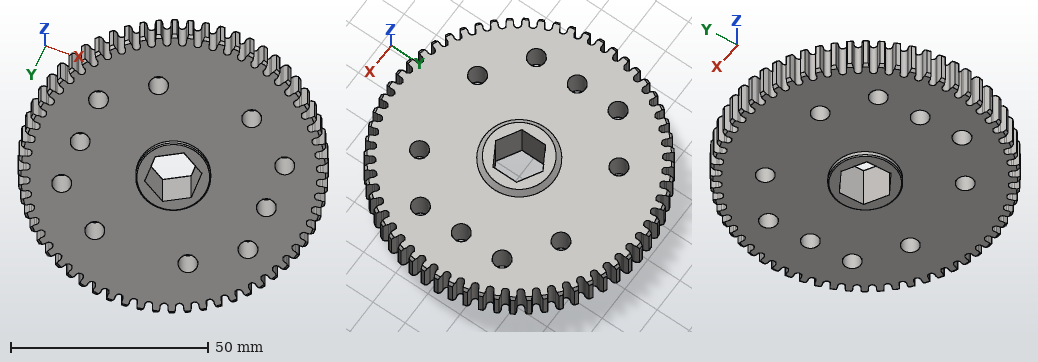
import cadquery as cq
import math

INCH = 25.4

TOOTH_COUNT = 60
MODULE = INCH / 20
PRESSURE_ANGLE = math.radians(14.5)
PITCH_RADIUS = MODULE * TOOTH_COUNT / 2
TIP_RADIUS = PITCH_RADIUS + MODULE
ROOT_RADIUS = 36.38
BASE_RADIUS = PITCH_RADIUS * math.cos(PRESSURE_ANGLE)
FLANK_START_RADIUS = PITCH_RADIUS - 0.15
FLANK_MIDDLE_RADIUS = (FLANK_START_RADIUS + TIP_RADIUS) / 2
BACKLASH = 0.08
TOOTH_PITCH_ANGLE = 2 * math.pi / TOOTH_COUNT
PITCH_HALF_ANGLE = TOOTH_PITCH_ANGLE / 4 - BACKLASH / (2 * PITCH_RADIUS)
TIP_CHAMFER = 0.75

BODY_THICKNESS = 9.8
TOTAL_HEIGHT = 12.7
HUB_HEIGHT = (TOTAL_HEIGHT - BODY_THICKNESS) / 2
BODY_TOP = BODY_THICKNESS / 2
BODY_BOTTOM = -BODY_TOP

TOP_HUB_BASE_RADIUS = 0.85 * INCH / 2
TOP_HUB_FACE_RADIUS = TOP_HUB_BASE_RADIUS - HUB_HEIGHT
BOTTOM_HUB_RADIUS = 0.75 * INCH / 2
BOTTOM_HUB_CHAMFER = 0.3
HEX_ACROSS_FLATS = INCH / 2
HEX_ACROSS_CORNERS = HEX_ACROSS_FLATS / math.cos(math.pi / 6)

HOLE_DIAMETER = 5.0
HOLE_GRID = INCH
HOLE_CIRCLE_X = HOLE_GRID * math.sin(math.pi / 6)
HOLE_CIRCLE_Y = HOLE_GRID * math.cos(math.pi / 6)
HOLE_CENTRES = [(side * HOLE_GRID, row * HOLE_GRID / 2) for side in (-1, 1) for row in (-1, 0, 1)]
HOLE_CENTRES += [(side * HOLE_CIRCLE_X, row * HOLE_CIRCLE_Y) for side in (-1, 1) for row in (-1, 1)]


def polar(radius, angle):
    return (radius * math.cos(angle), radius * math.sin(angle))


def involute(angle):
    return math.tan(angle) - angle


def tooth_half_angle(radius):
    """Half the angle a tooth covers at a radius on its involute flank."""
    flank_angle = math.acos(BASE_RADIUS / radius)
    return PITCH_HALF_ANGLE + involute(PRESSURE_ANGLE) - involute(flank_angle)


def flank(tooth_angle, side):
    """Foot, middle and tip points of one flank; side is -1 or 1."""
    radii = [FLANK_START_RADIUS, FLANK_MIDDLE_RADIUS, TIP_RADIUS]
    return [polar(radius, tooth_angle + side * tooth_half_angle(radius)) for radius in radii]


def root_arc(space_angle):
    """Start, middle and end of the full-round bottom of one parallel-sided tooth space."""
    space_half_angle = TOOTH_PITCH_ANGLE / 2 - tooth_half_angle(FLANK_START_RADIUS)
    round_radius = FLANK_START_RADIUS * math.sin(space_half_angle)
    centre_radius = ROOT_RADIUS + round_radius
    end_radius = math.hypot(centre_radius, round_radius)
    end_angle = math.atan2(round_radius, centre_radius)
    start = polar(end_radius, space_angle - end_angle)
    end = polar(end_radius, space_angle + end_angle)
    return start, polar(ROOT_RADIUS, space_angle), end


def toothed_envelope():
    """Prism over the full height with involute flanks and round-bottomed tooth spaces."""
    first_tooth = TOOTH_PITCH_ANGLE / 2
    _, _, first_foot = root_arc(0)
    outline = cq.Workplane("XY", origin=(0, 0, BODY_BOTTOM - HUB_HEIGHT)).moveTo(*first_foot)
    for index in range(TOOTH_COUNT):
        tooth_angle = first_tooth + index * TOOTH_PITCH_ANGLE
        left_foot, left_middle, left_tip = flank(tooth_angle, -1)
        right_foot, right_middle, right_tip = flank(tooth_angle, 1)
        root_start, root_middle, root_end = root_arc(tooth_angle + TOOTH_PITCH_ANGLE / 2)
        outline = outline.lineTo(*left_foot).threePointArc(left_middle, left_tip)
        outline = outline.threePointArc(polar(TIP_RADIUS, tooth_angle), right_tip)
        outline = outline.threePointArc(right_middle, right_foot).lineTo(*root_start)
        outline = outline.threePointArc(root_middle, root_end)
    return outline.close().extrude(TOTAL_HEIGHT)


def chamfered_blank():
    """Plain disc whose chamfered rims bevel both ends of every tooth."""
    blank = cq.Workplane("XY", origin=(0, 0, BODY_BOTTOM)).circle(TIP_RADIUS).extrude(BODY_THICKNESS)
    return blank.edges("%CIRCLE").chamfer(TIP_CHAMFER)


def top_hub():
    """Conical boss on the upper face."""
    base = cq.Workplane("XY", origin=(0, 0, BODY_TOP)).circle(TOP_HUB_BASE_RADIUS)
    return base.workplane(offset=HUB_HEIGHT).circle(TOP_HUB_FACE_RADIUS).loft()


def bottom_hub():
    """Cylindrical boss on the lower face with a small edge chamfer."""
    hub = cq.Workplane("XY", origin=(0, 0, BODY_BOTTOM)).circle(BOTTOM_HUB_RADIUS).extrude(-HUB_HEIGHT)
    return hub.faces("<Z").edges().chamfer(BOTTOM_HUB_CHAMFER)


def through_cuts():
    """Hexagonal bore with flats facing +-X, and the mounting holes."""
    base = cq.Workplane("XY", origin=(0, 0, BODY_BOTTOM - HUB_HEIGHT))
    bore = base.transformed(rotate=(0, 0, 90)).polygon(6, HEX_ACROSS_CORNERS).extrude(TOTAL_HEIGHT)
    holes = base.pushPoints(HOLE_CENTRES).circle(HOLE_DIAMETER / 2).extrude(TOTAL_HEIGHT)
    return bore.union(holes)



plain_wheel = chamfered_blank().union(top_hub()).union(bottom_hub()).cut(through_cuts())
result = plain_wheel.intersect(toothed_envelope())